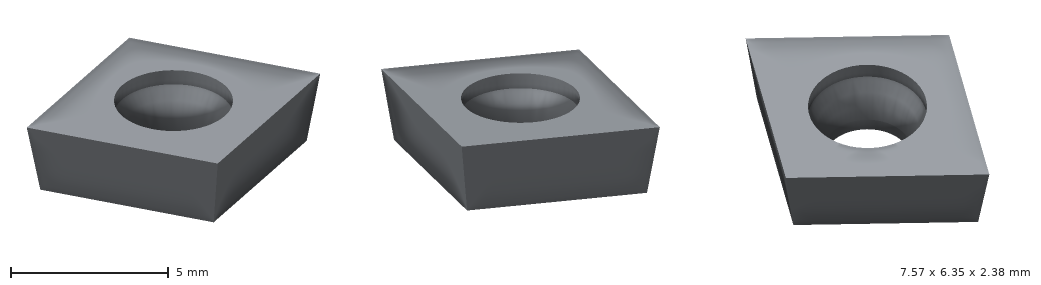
import cadquery as cq
import math

inscribed_circle = 6.35
thickness = 2.38
corner_angle = 80.0
clearance_angle = 7.0

mouth_diameter = 3.77
mouth_depth = 0.52
bore_diameter = 2.8
bore_start_depth = 1.96


def make_body():
    """Rhombus that narrows downward by the clearance angle, centred on the origin."""
    half_height = inscribed_circle / 2
    half_side = half_height / math.sin(math.radians(corner_angle))
    half_lean = half_height / math.tan(math.radians(corner_angle))
    top_outline = [
        (-half_side - half_lean, -half_height),
        (half_side - half_lean, -half_height),
        (half_side + half_lean, half_height),
        (-half_side + half_lean, half_height),
    ]
    return (
        cq.Workplane("XY")
        .workplane(offset=thickness / 2)
        .polyline(top_outline)
        .close()
        .extrude(-thickness, taper=clearance_angle)
    )


def make_screw_hole():
    """Revolved cutter whose convex seat arc runs tangentially into the bore."""
    top_z = thickness / 2
    mouth_radius = mouth_diameter / 2
    bore_radius = bore_diameter / 2
    seat_top_z = top_z - mouth_depth
    seat_bottom_z = top_z - bore_start_depth

    seat_height = seat_top_z - seat_bottom_z
    seat_width = mouth_radius - bore_radius
    seat_radius = (seat_height**2 + seat_width**2) / (2 * seat_width)
    half_sweep = math.asin(seat_height / seat_radius) / 2
    seat_middle = (
        bore_radius + seat_radius * (1 - math.cos(half_sweep)),
        seat_bottom_z + seat_radius * math.sin(half_sweep),
    )
    return (
        cq.Workplane("XZ")
        .moveTo(0, top_z)
        .lineTo(mouth_radius, top_z)
        .lineTo(mouth_radius, seat_top_z)
        .threePointArc(seat_middle, (bore_radius, seat_bottom_z))
        .lineTo(bore_radius, -top_z)
        .lineTo(0, -top_z)
        .close()
        .revolve(360, (0, 0, 0), (0, 1, 0))
    )


result = make_body().cut(make_screw_hole())